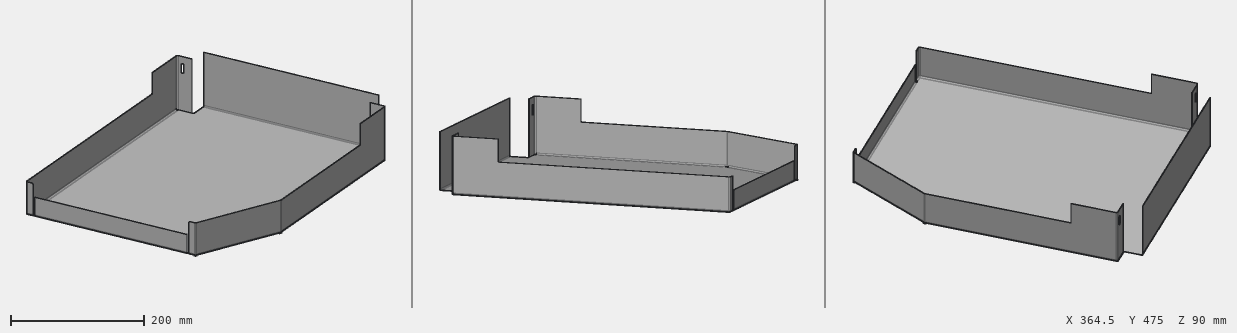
import cadquery as cq
import math

width = 364.5
length = 475.0
height = 90.0

sheet = 1.0
bend_radius = 3.0
back_bend_radius = 2.0
gap = 3.0

tongue_length = 30.0
tray_length = length - tongue_length
corner_cut_width = 68.0
corner_cut_length = 137.5
front_width = width - corner_cut_width

low_wall_height = 54.5
lip_height = 32.5
high_wall_length = 74.0
high_wall_front = tray_length - high_wall_length
step_radius = 1.5

front_left_tab_width = 13.0
front_right_tab_width = 12.5
tab_corner_radius = 3.0
back_tab_width = 26.5
lip_left = front_left_tab_width + gap
lip_right = front_width - front_right_tab_width - gap

flange_left = back_tab_width + gap

slot_width = 4.8
slot_length = 15.5
slot_inset = 10.0
slot_height = 70.5


def block(x_min, x_max, y_min, y_max, z_min, z_max):
    """Box given by its limits along each axis."""
    size = (x_max - x_min, y_max - y_min, z_max - z_min)
    return cq.Workplane("XY").box(*size, centered=False).translate((x_min, y_min, z_min))


def sharp_block(inset, top):
    """Solid with the tray's outline, moved inwards all round and at the floor."""
    slant = math.atan2(corner_cut_length, corner_cut_width)
    front_shift = inset * math.tan(slant / 2)
    side_shift = inset * math.tan((math.pi / 2 - slant) / 2)
    points = [
        (inset, inset),
        (front_width - front_shift, inset),
        (width - inset, corner_cut_length + side_shift),
        (width - inset, tray_length - inset),
        (inset, tray_length - inset),
    ]
    return cq.Workplane("XY").workplane(offset=inset).polyline(points).close().extrude(top - inset)


def outline_block(inset):
    """The outline at full height with its upright corners rounded."""
    return sharp_block(inset, height).edges("|Z").fillet(bend_radius - inset)


def bent_block(inset):
    """The rounded outline with its bottom edges also rounded for the bends to the floor."""
    return outline_block(inset).faces("<Z").edges().fillet(bend_radius - inset)


def tongue_block(inset):
    """Solid behind the tray's floor, moved inwards at the floor and at the back face."""
    front = tray_length - bend_radius
    body = block(flange_left, width - flange_left, front, length - inset, inset, height)
    return body.edges("|X and >Y and <Z").fillet(back_bend_radius - inset)


tray = bent_block(0).cut(bent_block(sheet))

slant_ends = [(front_width, 0), (width, corner_cut_length)]
tip_zone = cq.Workplane("XY").pushPoints(slant_ends).circle(bend_radius).extrude(sheet)
tray = tray.union(sharp_block(0, sheet).intersect(tip_zone))

bend_start = tray_length - bend_radius
back_zone = block(0, width, bend_start, tray_length, 0, height)
tab_zone = block(0, width, bend_start, tray_length, sheet, height)
back_floor = block(bend_radius, width - bend_radius, bend_start, tray_length, 0, sheet)
tabs = outline_block(0).cut(outline_block(sheet)).intersect(tab_zone)
wall_opening = block(back_tab_width, width - back_tab_width, bend_start, tray_length, sheet, height)
tray = tray.cut(back_zone).union(back_floor).union(tabs.cut(wall_opening))

low_zone = block(-gap, width + gap, -gap, high_wall_front, low_wall_height, height)
tray = tray.cut(low_zone.edges("|X and >Y and <Z").fillet(step_radius))

front_opening = block(front_left_tab_width, lip_right + gap, 0, bend_radius, 0, low_wall_height)
lip_zone = block(lip_left, lip_right, 0, bend_radius, 0, lip_height)
tray = tray.cut(front_opening.cut(lip_zone))
tab_corners = cq.selectors.BoxSelector(
    (front_left_tab_width - sheet, -sheet, low_wall_height - sheet),
    (lip_right + gap + sheet, 2 * sheet, low_wall_height + sheet),
)
tray = tray.edges(tab_corners).edges("|Y").fillet(tab_corner_radius)

slots = (
    cq.Workplane("XZ", origin=(width / 2, tray_length + gap, slot_height))
    .pushPoints([(slot_inset - width / 2, 0), (width / 2 - slot_inset, 0)])
    .slot2D(slot_length, slot_width, 90)
    .extrude(2 * gap)
)
tray = tray.cut(slots)

result = tray.union(tongue_block(0).cut(tongue_block(sheet)))